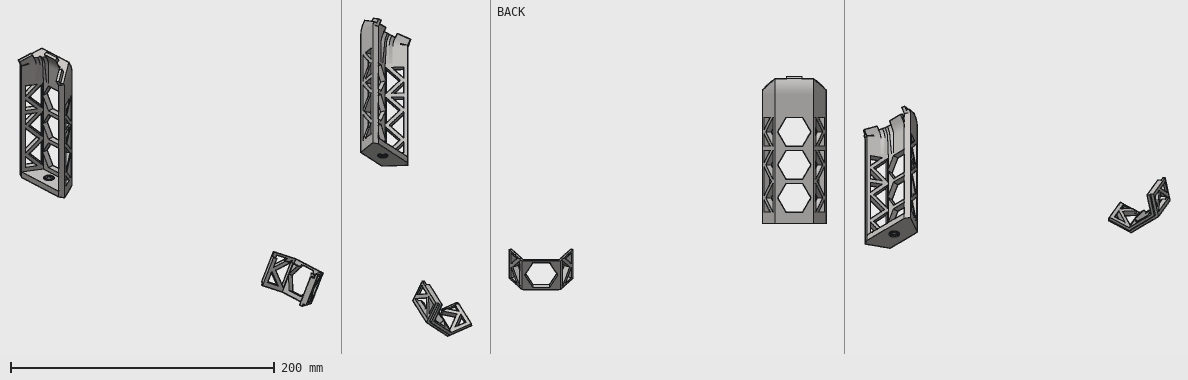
import cadquery as cq
import math

BACK_WIDTH = 29.5
WALL = 4.8
CUT_MARGIN = 2.5
FLOOR = 5.0
PITCH = 25.0
HEX_FLATS = 21.7
WINDOW_HEIGHT = HEX_FLATS

WINDOW_START = 3.4
WINDOW_END = 16.9
APEX = 14.2
UPPER_CORNER = 7.7
STRUT_SLOPE = WINDOW_HEIGHT / 2 / (APEX - WINDOW_START)
SMALL_TRIANGLE = (WINDOW_END - UPPER_CORNER) * STRUT_SLOPE

SHELL_WIDTH = 48.7
SHELL_DEPTH = 17.3
SHELL_HEIGHT = 98.5
SHELL_MODULES = 3
FIRST_HEX_HEIGHT = 19.5
HEAD_TILT = 30
HEAD_BAND = 2.0
TONGUE_INSET = 2.5
TONGUE_HEIGHT = 3.4
TAB_WIDTH = 12.0
SIDE_TONGUE_START = 8.7
PAD_HEIGHT = 15.2
PAD_RISE = 1.7
PAD_BACK_RUN = 2.5
PAD_SIDE_RUN = 2.7
THREAD_MINOR = 6.7
THREAD_MAJOR = 8.2
THREAD_TURNS = 4
BOLT_DEPTH = 10.4

RING_WIDTH = 48.7
RING_DEPTH = 17.3
RING_HEIGHT = 25.0
RING_HEX_HEIGHT = 12.5
RING_TILT = 30
REBATE_DEPTH = 3.5
REBATE_RIM = 2.0
RING_TONGUE_HEIGHT = 2.0
RING_SHIFT = (192.3, 79.3, -28.5)


class Channel:
    """Plan geometry of a channel whose back lies on y = 0 and whose sides open toward -Y."""

    def __init__(self, width, depth):
        flare = (width - BACK_WIDTH) / 2
        self.length = math.hypot(flare, depth)
        self.run = flare / self.length
        self.fall = depth / self.length
        self.corner_shift = math.tan(math.atan2(depth, flare) / 2)

    def side_point(self, side, along, inset):
        """Point on a side wall: along it from the outer back corner, and in from its outer face."""
        x = BACK_WIDTH / 2 + along * self.run - inset * self.fall
        return (side * x, -along * self.fall - inset * self.run)

    def corner(self, side, inset):
        """Corner between the back and a side wall, with both faces moved in by `inset`."""
        return (side * (BACK_WIDTH / 2 - inset * self.corner_shift), -inset)

    def outline(self, inset):
        """Open outline from the left lip round the back to the right lip."""
        return [
            self.side_point(-1, self.length, inset),
            self.corner(-1, inset),
            self.corner(1, inset),
            self.side_point(1, self.length, inset),
        ]

    def wall_plan(self, outer, inner):
        return self.outline(outer) + self.outline(inner)[::-1]

    def lip_depth(self):
        return -self.side_point(1, self.length, WALL)[1]


def prism(points, bottom, height):
    return cq.Workplane("XY").workplane(offset=bottom).polyline(points).close().extrude(height)


def hex_window(height):
    return (
        cq.Workplane("XZ", origin=(0, 0, height))
        .polygon(6, HEX_FLATS / math.cos(math.pi / 6))
        .extrude(WALL + CUT_MARGIN)
    )


def side_cutter(channel, side, points):
    plane = cq.Plane(
        origin=(side * BACK_WIDTH / 2, 0, 0),
        xDir=(side * channel.run, -channel.fall, 0),
        normal=(side * channel.fall, channel.run, 0),
    )
    upright = [(along, side * -height) for along, height in points]
    return cq.Workplane(plane).polyline(upright).close().extrude(WALL + CUT_MARGIN, both=True)


def module_triangles(height):
    """One large and two small triangles that leave a V of struts in a side wall."""
    half = WINDOW_HEIGHT / 2
    large = [(WINDOW_START, height - half), (WINDOW_START, height + half), (APEX, height)]
    smalls = [
        [
            (UPPER_CORNER, height + end * half),
            (WINDOW_END, height + end * half),
            (WINDOW_END, height + end * (half - SMALL_TRIANGLE)),
        ]
        for end in (1, -1)
    ]
    return [large] + smalls


def cut_windows(body, channel, heights, extra_triangles=()):
    for height in heights:
        body = body.cut(hex_window(height))
    triangles = [t for height in heights for t in module_triangles(height)] + list(extra_triangles)
    for side in (1, -1):
        for triangle in triangles:
            body = body.cut(side_cutter(channel, side, triangle))
    return body


shell_plan = Channel(SHELL_WIDTH, SHELL_DEPTH)
ring_plan = Channel(RING_WIDTH, RING_DEPTH)


def pad_plan(side, rise):
    """Corner pad, rooted inside the wall and standing `rise` above its inner face."""
    root = WALL / 2
    top = WALL + rise
    tab_edge = TAB_WIDTH / 2
    return [
        (side * tab_edge, -root),
        (side * tab_edge, -WALL),
        (side * (tab_edge + PAD_BACK_RUN), -top),
        shell_plan.corner(side, top),
        shell_plan.side_point(side, SIDE_TONGUE_START - PAD_SIDE_RUN, top),
        shell_plan.side_point(side, SIDE_TONGUE_START, WALL),
        shell_plan.side_point(side, SIDE_TONGUE_START, root),
        shell_plan.corner(side, root),
    ]


def tapered_pad(side):
    return (
        cq.Workplane("XY")
        .workplane(offset=SHELL_HEIGHT - PAD_HEIGHT)
        .polyline(pad_plan(side, 0))
        .close()
        .workplane(offset=PAD_HEIGHT)
        .polyline(pad_plan(side, PAD_RISE))
        .close()
        .loft(ruled=True)
    )


def head_plans():
    return [shell_plan.wall_plan(0, WALL)] + [pad_plan(side, PAD_RISE) for side in (1, -1)]


def tongue_plans():
    tab = TAB_WIDTH / 2
    plans = [[(-tab, -TONGUE_INSET), (tab, -TONGUE_INSET), (tab, -WALL), (-tab, -WALL)]]
    for side in (1, -1):
        plans.append([
            shell_plan.side_point(side, along, inset)
            for along, inset in (
                (SIDE_TONGUE_START, TONGUE_INSET),
                (shell_plan.length, TONGUE_INSET),
                (shell_plan.length, WALL),
                (SIDE_TONGUE_START, WALL),
            )
        ])
    return plans


def bent_head():
    """Top of the shell, bent toward -Y about the front of its lips and ending in the tongues."""
    hinge = -shell_plan.lip_depth()
    bend = cq.Workplane("XY")
    straight = cq.Workplane("XY")
    for plan in head_plans():
        bend = bend.union(
            cq.Workplane("XY", origin=(0, 0, SHELL_HEIGHT))
            .polyline(plan)
            .close()
            .revolve(HEAD_TILT, (0, hinge, 0), (1, hinge, 0))
        )
        straight = straight.union(prism(plan, SHELL_HEIGHT, HEAD_BAND))
    for plan in tongue_plans():
        straight = straight.union(prism(plan, SHELL_HEIGHT, HEAD_BAND + TONGUE_HEIGHT))
    straight = straight.rotate((0, hinge, SHELL_HEIGHT), (1, hinge, SHELL_HEIGHT), HEAD_TILT)
    return bend.union(straight)


def threaded_bore():
    """Bore through the floor with its thread as a stack of V-shaped rings."""
    pitch = FLOOR / THREAD_TURNS
    profile = [(0, 0), (THREAD_MINOR / 2, 0)]
    for turn in range(THREAD_TURNS):
        profile.append((THREAD_MAJOR / 2, (turn + 0.5) * pitch))
        profile.append((THREAD_MINOR / 2, (turn + 1) * pitch))
    profile.append((0, FLOOR))
    bore = cq.Workplane("XZ").polyline(profile).close().revolve(360, (0, 0, 0), (0, 1, 0))
    return bore.translate((0, -BOLT_DEPTH, 0))


def make_shell():
    floor_plan = shell_plan.outline(0) + [
        shell_plan.side_point(1, shell_plan.length, WALL),
        shell_plan.side_point(-1, shell_plan.length, WALL),
    ]
    shell = prism(shell_plan.wall_plan(0, WALL), 0, SHELL_HEIGHT).union(prism(floor_plan, 0, FLOOR))
    for side in (1, -1):
        shell = shell.union(tapered_pad(side))
    shell = shell.union(bent_head())

    heights = [FIRST_HEX_HEIGHT + PITCH * i for i in range(SHELL_MODULES)]
    joint = FIRST_HEX_HEIGHT + PITCH / 2
    reach = SMALL_TRIANGLE + (PITCH - WINDOW_HEIGHT) / 2
    shared = [(WINDOW_END, joint - reach), (WINDOW_END, joint + reach), (WINDOW_END - reach / STRUT_SLOPE, joint)]
    shell = cut_windows(shell, shell_plan, heights, [shared])

    return shell.cut(threaded_bore())


def make_ring():
    ring = prism(ring_plan.wall_plan(0, WALL), 0, RING_HEIGHT)
    rebate_plan = ring_plan.wall_plan(REBATE_RIM, WALL + CUT_MARGIN)
    ring = ring.cut(prism(rebate_plan, RING_HEIGHT - REBATE_DEPTH, REBATE_DEPTH))
    tongue_plan = ring_plan.wall_plan(TONGUE_INSET, WALL)
    ring = ring.union(prism(tongue_plan, -RING_TONGUE_HEIGHT, RING_TONGUE_HEIGHT))
    ring = cut_windows(ring, ring_plan, [RING_HEX_HEIGHT])
    ring = ring.translate((0, 0, -RING_HEIGHT)).rotate((0, 0, 0), (1, 0, 0), -RING_TILT)
    return ring.translate(RING_SHIFT)


shell = make_shell()
ring = make_ring()
result = cq.Compound.makeCompound([shell.solids().val(), ring.solids().val()])